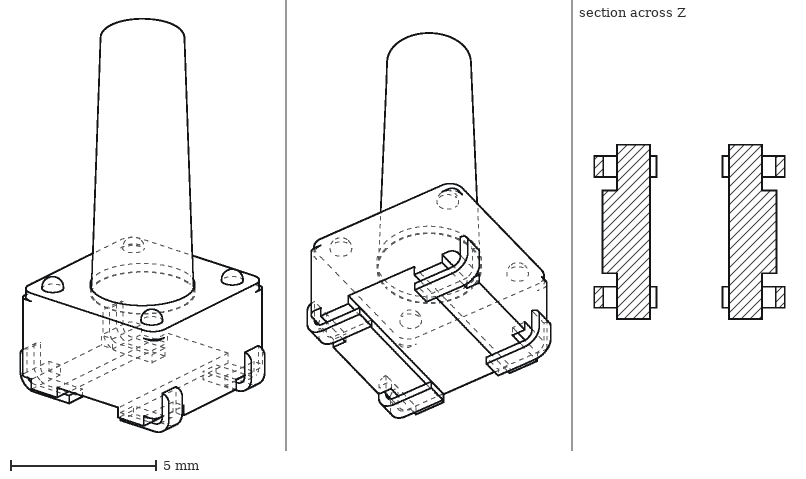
import cadquery as cq

TOTAL_HEIGHT = 13.3
BODY_WIDTH = 6.0
HALF_WIDTH = BODY_WIDTH / 2
BODY_TOP = 3.9
CORNER_RADIUS = 0.25
COVER_THICKNESS = 0.3
COVER_BOTTOM = BODY_TOP - COVER_THICKNESS
COVER_CORNER_RADIUS = 0.5

TERMINAL_SPAN = 6.6
TERMINAL_THICKNESS = (TERMINAL_SPAN - BODY_WIDTH) / 2
TERMINAL_WIDTH = 0.73
TERMINAL_OFFSET_Y = 2.25
TERMINAL_TOP = 1.53
TERMINAL_INNER_END = 1.13
BEND_INNER_RADIUS = 0.33
BEND_OUTER_RADIUS = BEND_INNER_RADIUS + TERMINAL_THICKNESS

BODY_BOTTOM = TERMINAL_THICKNESS
CUTOUT_HEIGHT = 0.37
CHANNEL_WIDTH = 2.7
CORNER_CUTOUT_X = 0.5
CORNER_CUTOUT_Y = 1.57

RIVET_DIAMETER = 0.75
RIVET_OFFSET = 2.2
RIVET_BASE_HEIGHT = 0.03

OPENING_DIAMETER = 3.6
OPENING_FLOOR = COVER_BOTTOM
STEM_BASE_DIAMETER = 3.52
STEM_TOP_DIAMETER = 2.89
STEM_TOP_FILLET = 0.15

SIGNS = (-1, 1)


def make_housing():
    """Block with tight corners under a cover with wider ones."""
    block = (
        cq.Workplane("XY", origin=(0, 0, BODY_BOTTOM))
        .rect(BODY_WIDTH, BODY_WIDTH)
        .extrude(COVER_BOTTOM - BODY_BOTTOM)
        .edges("|Z")
        .fillet(CORNER_RADIUS)
    )
    cover = (
        cq.Workplane("XY", origin=(0, 0, COVER_BOTTOM))
        .rect(BODY_WIDTH, BODY_WIDTH)
        .extrude(COVER_THICKNESS)
        .edges("|Z")
        .fillet(COVER_CORNER_RADIUS)
    )
    return block.union(cover)


def make_underside_cutouts():
    """Channel along Y through the middle, and a notch above each terminal bend."""
    base = cq.Workplane("XY", origin=(0, 0, BODY_BOTTOM))
    channel = base.rect(CHANNEL_WIDTH, BODY_WIDTH).extrude(CUTOUT_HEIGHT)
    corner_x = HALF_WIDTH - CORNER_CUTOUT_X / 2
    corner_y = HALF_WIDTH - CORNER_CUTOUT_Y / 2
    corners = (
        base.rect(2 * corner_x, 2 * corner_y, forConstruction=True)
        .vertices()
        .rect(CORNER_CUTOUT_X, CORNER_CUTOUT_Y)
        .extrude(CUTOUT_HEIGHT)
    )
    return channel.union(corners)


def make_terminal(y_center):
    """J-shaped strip on the +X side, bent under the housing."""
    outer_x = TERMINAL_SPAN / 2
    return (
        cq.Workplane("XZ", origin=(0, y_center, 0))
        .moveTo(TERMINAL_INNER_END, 0)
        .lineTo(outer_x - BEND_OUTER_RADIUS, 0)
        .radiusArc((outer_x, BEND_OUTER_RADIUS), -BEND_OUTER_RADIUS)
        .lineTo(outer_x, TERMINAL_TOP - TERMINAL_THICKNESS)
        .radiusArc((HALF_WIDTH, TERMINAL_TOP), -TERMINAL_THICKNESS)
        .lineTo(HALF_WIDTH, BEND_OUTER_RADIUS)
        .radiusArc((outer_x - BEND_OUTER_RADIUS, TERMINAL_THICKNESS), BEND_INNER_RADIUS)
        .lineTo(TERMINAL_INNER_END, TERMINAL_THICKNESS)
        .close()
        .extrude(TERMINAL_WIDTH / 2, both=True)
    )


def make_rivet(x, y):
    """Domed head: a hemisphere on a very short cylinder."""
    radius = RIVET_DIAMETER / 2
    base = cq.Workplane("XY", origin=(x, y, BODY_TOP)).circle(radius).extrude(RIVET_BASE_HEIGHT)
    dome = cq.Workplane("XY", origin=(x, y, BODY_TOP + RIVET_BASE_HEIGHT)).sphere(radius)
    return base.union(dome)


def make_stem():
    """Tapered button standing on the floor of the cover opening."""
    return (
        cq.Workplane("XY", origin=(0, 0, OPENING_FLOOR))
        .circle(STEM_BASE_DIAMETER / 2)
        .workplane(offset=TOTAL_HEIGHT - OPENING_FLOOR)
        .circle(STEM_TOP_DIAMETER / 2)
        .loft()
        .faces(">Z")
        .edges()
        .fillet(STEM_TOP_FILLET)
    )


def make_opening():
    """Round hole through the cover with a narrow gap around the stem."""
    floor_plane = cq.Workplane("XY", origin=(0, 0, OPENING_FLOOR))
    return floor_plane.circle(OPENING_DIAMETER / 2).extrude(BODY_TOP - OPENING_FLOOR)


result = make_housing().cut(make_underside_cutouts()).cut(make_opening()).union(make_stem())

for y_sign in SIGNS:
    terminal = make_terminal(y_sign * TERMINAL_OFFSET_Y)
    result = result.union(terminal).union(terminal.mirror("YZ"))
    for x_sign in SIGNS:
        result = result.union(make_rivet(x_sign * RIVET_OFFSET, y_sign * RIVET_OFFSET))